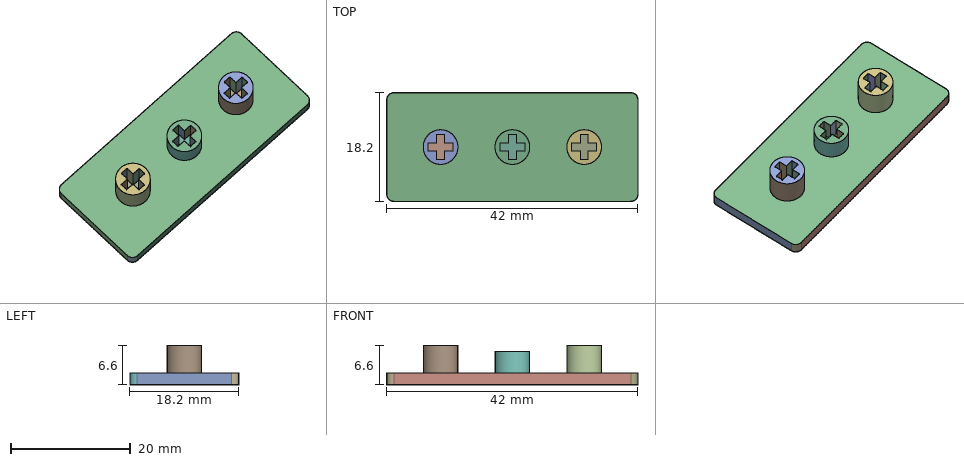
import cadquery as cq

plate_length = 42.01
plate_width = 18.2
plate_thickness = 2.0
corner_radius = 1.2

stem_diameter = 5.8
stem_spacing = 12.0
outer_stem_height = 4.6
middle_stem_height = 3.6
socket_span = 4.2
socket_slot_width = 1.3


def make_plate():
    """Rectangular plate with rounded vertical corners, resting on Z = 0."""
    plate = cq.Workplane("XY").box(
        plate_length, plate_width, plate_thickness, centered=(True, True, False)
    )
    return plate.edges("|Z").fillet(corner_radius)


def make_stem(x, height):
    """Cylinder standing on the plate at the given X position."""
    return (
        cq.Workplane("XY", origin=(x, 0, plate_thickness))
        .circle(stem_diameter / 2)
        .extrude(height)
    )


def make_socket(x, depth):
    """Cross-shaped cutter reaching from the stem top down to the plate face."""
    base = cq.Workplane("XY", origin=(x, 0, plate_thickness))
    arm_along_x = base.rect(socket_span, socket_slot_width).extrude(depth)
    arm_along_y = base.rect(socket_slot_width, socket_span).extrude(depth)
    return arm_along_x.union(arm_along_y)


stems = [
    (-stem_spacing, outer_stem_height),
    (0, middle_stem_height),
    (stem_spacing, outer_stem_height),
]

result = make_plate()
for stem_x, stem_height in stems:
    result = result.union(make_stem(stem_x, stem_height))
    result = result.cut(make_socket(stem_x, stem_height))